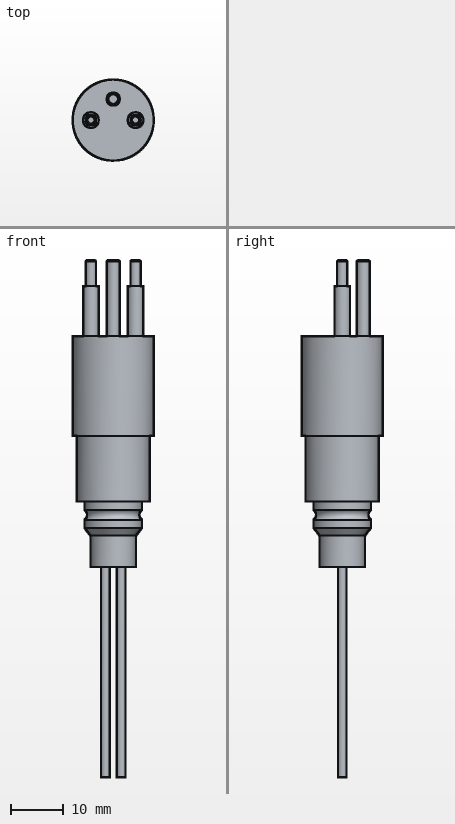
import cadquery as cq

wire_length = 40.0
sleeve_top = 6.0
taper_top = 7.5
groove_bottom = 9.0
groove_top = 10.9
neck_top = 12.5
barrel_top = 25.0
head_top = 44.0

pin_length = 14.5
pin_shoulder_height = 9.5

head_diameter = 15.5
barrel_diameter = 14.0
neck_diameter = 11.0
sleeve_diameter = 8.7
groove_depth = 0.5

contact_diameter = 3.0
contact_tip_diameter = 2.0
contact_offset_x = 4.25
ground_diameter = 2.5
ground_offset_y = 4.0
pin_chamfer = 0.3
wire_diameter = 1.7
wire_offset_x = 1.5

joint_overlap = 1.0


def make_body():
    """Revolved body: head, barrel, grooved neck, taper and sleeve."""
    head_radius = head_diameter / 2
    barrel_radius = barrel_diameter / 2
    neck_radius = neck_diameter / 2
    sleeve_radius = sleeve_diameter / 2
    groove_floor = (neck_radius - groove_depth, (groove_bottom + groove_top) / 2)
    return (
        cq.Workplane("XZ")
        .moveTo(0, 0)
        .lineTo(sleeve_radius, 0)
        .lineTo(sleeve_radius, sleeve_top)
        .lineTo(neck_radius, taper_top)
        .lineTo(neck_radius, groove_bottom)
        .threePointArc(groove_floor, (neck_radius, groove_top))
        .lineTo(neck_radius, neck_top)
        .lineTo(barrel_radius, neck_top)
        .lineTo(barrel_radius, barrel_top)
        .lineTo(head_radius, barrel_top)
        .lineTo(head_radius, head_top)
        .lineTo(0, head_top)
        .close()
        .revolve(360, (0, 0), (0, 1))
    )


def make_rod(x, y, diameter, bottom, top):
    """Vertical round rod between two Z levels."""
    return cq.Workplane("XY", origin=(x, y, bottom)).circle(diameter / 2).extrude(top - bottom)


def make_pin(x, y, tip_diameter):
    """Rod standing on the head, with a chamfered tip."""
    rod = make_rod(x, y, tip_diameter, head_top - joint_overlap, head_top + pin_length)
    return rod.faces(">Z").chamfer(pin_chamfer)


def make_contact(x):
    """Stepped contact pin: a thin tip on a thicker shank."""
    shank = make_rod(x, 0, contact_diameter, head_top - joint_overlap, head_top + pin_shoulder_height)
    return make_pin(x, 0, contact_tip_diameter).union(shank)


def make_wire(x):
    """Straight wire hanging from the sleeve."""
    return make_rod(x, 0, wire_diameter, -wire_length, joint_overlap)


result = make_body().union(make_pin(0, ground_offset_y, ground_diameter))
for side in (-1, 1):
    result = result.union(make_contact(side * contact_offset_x))
    result = result.union(make_wire(side * wire_offset_x))